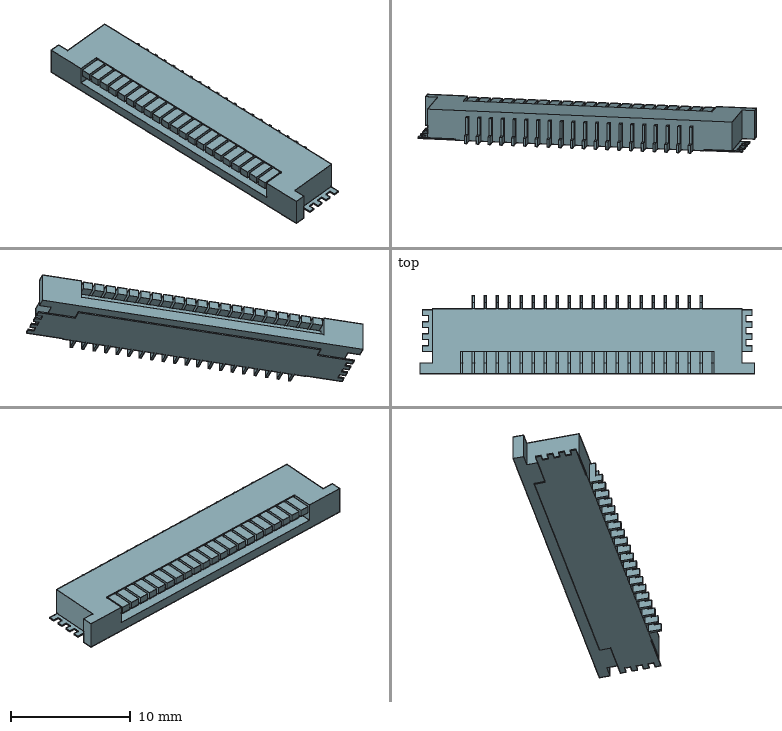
import cadquery as cq


overall_length = 27.92
overall_depth = 6.53
overall_height = 2.57

pitch = 1.0
contact_count = 20
contact_width = 0.2
contact_height = 2.1
foot_height = 0.67
foot_length = 0.6
contact_overhang = 1.1

housing_length = 25.85
ear_depth = 0.92
standoff = 0.1
housing_bottom = standoff
housing_depth = overall_depth - contact_overhang
housing_height = overall_height - standoff

mouth_length = 21.1
mouth_height = 1.6
mouth_depth = ear_depth
comb_depth = 1.87
tooth_count = contact_count + 1
tooth_height = 0.65
tooth_width = pitch - contact_width
tooth_drop = 0.08
tooth_underside = overall_height - tooth_drop - tooth_height

plate_length = 27.5
tab_count = 4
tab_width = pitch / 2
tab_length = 0.5
tab_row_depth = (tab_count - 1) * pitch + tab_width

front_y = -overall_depth / 2
rear_y = overall_depth / 2
comb_rear_y = front_y + comb_depth


def block(length, depth, height, x_center, y_front, z_bottom):
    """Box centred on x_center, reaching back from y_front and up from z_bottom."""
    return (
        cq.Workplane("XY")
        .box(length, depth, height, centered=(True, False, False))
        .translate((x_center, y_front, z_bottom))
    )


def row_positions(count):
    """Evenly pitched coordinates centred on zero."""
    return [(i - (count - 1) / 2) * pitch for i in range(count)]


def make_housing():
    """Body with full-height ears at the front and the open cable mouth."""
    body = block(housing_length, housing_depth, housing_height, 0, front_y, housing_bottom)
    ears = block(overall_length, ear_depth, housing_height, 0, front_y, housing_bottom)
    mouth = block(mouth_length, mouth_depth, mouth_height, 0, front_y, overall_height - mouth_height)
    comb_space = block(
        mouth_length, comb_depth, overall_height - tooth_underside, 0, front_y, tooth_underside
    )
    return body.union(ears).cut(mouth).cut(comb_space)


def make_tooth(x):
    """Finger hanging over the mouth, slightly below the top face."""
    return block(tooth_width, comb_depth, tooth_height, x, front_y, tooth_underside)


def make_base():
    """Thin foot under the housing: a middle pad and a plate notched into solder tabs."""
    pad = block(mouth_length, housing_depth - ear_depth, standoff, 0, front_y + ear_depth, 0)
    plate = block(plate_length, tab_row_depth, standoff, 0, comb_rear_y, 0)
    notch_x = (plate_length - tab_length) / 2
    for i in range(tab_count - 1):
        notch_y = comb_rear_y + tab_width + i * pitch
        for side in (-1, 1):
            plate = plate.cut(block(tab_length, pitch - tab_width, standoff, side * notch_x, notch_y, 0))
    return pad.union(plate)


def make_contact(x):
    """Solder tail: an upright against the rear face and a low foot behind it."""
    upright_depth = contact_overhang - foot_length
    tail_y = rear_y - contact_overhang
    upright = block(contact_width, upright_depth, contact_height, x, tail_y, 0)
    foot = block(contact_width, contact_overhang, foot_height, x, tail_y, 0)
    return upright.union(foot)


result = make_housing().union(make_base())
for tooth_x in row_positions(tooth_count):
    result = result.union(make_tooth(tooth_x))
for contact_x in row_positions(contact_count):
    result = result.union(make_contact(contact_x))